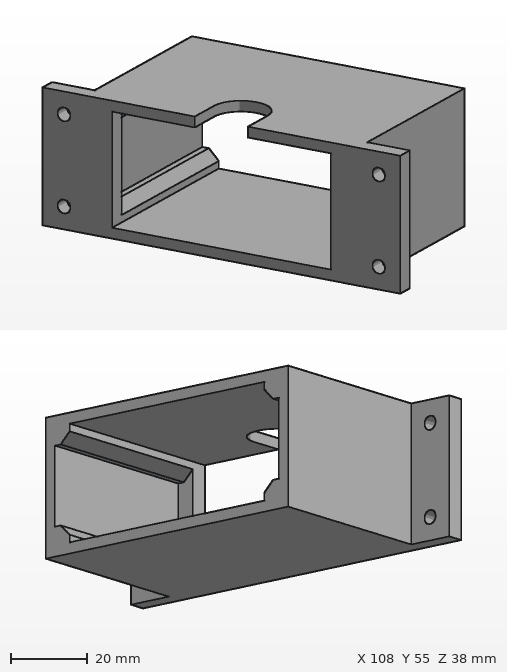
import cadquery as cq

flange_width = 108.0
depth = 55.0
height = 38.0
flange_thickness = 5.0
sleeve_width = 82.3

wall = 3.0
opening_width = 66.0
opening_height = height - 2 * wall

groove_lip = 2.0
groove_bevel = 3.0
groove_depth = 5.0

slot_width = 16.0
slot_length = 18.0
slot_radius = slot_width / 2

hole_diameter = 3.8
hole_spacing_x = 95.0
hole_spacing_z = 25.4


def centered_block(width, length, tall):
    """Block centred on X and Z, with its front face at Y = 0."""
    return cq.Workplane("XY").box(width, length, tall, centered=(True, False, True))


def groove_cutter():
    """Prism spanning both side grooves, symmetric about X and Z."""
    mouth_x = opening_width / 2
    bevel_x = mouth_x + groove_bevel
    back_x = mouth_x + groove_depth
    mouth_z = opening_height / 2 - groove_lip
    back_z = mouth_z - groove_bevel
    quarter = [(mouth_x, mouth_z), (bevel_x, back_z), (back_x, back_z)]
    right_half = quarter + [(x, -z) for x, z in reversed(quarter)]
    left_half = [(-x, -z) for x, z in right_half]
    return (
        cq.Workplane("XZ", origin=(0, flange_thickness, 0))
        .polyline(right_half + left_half)
        .close()
        .extrude(-(depth - flange_thickness))
    )


def slot_cutter():
    straight_length = slot_length - slot_radius
    return (
        cq.Workplane("XY")
        .workplane(offset=opening_height / 2 - wall)
        .moveTo(-slot_radius, 0)
        .lineTo(-slot_radius, straight_length)
        .threePointArc((0, slot_length), (slot_radius, straight_length))
        .lineTo(slot_radius, 0)
        .close()
        .extrude(3 * wall)
    )


def mounting_hole_cutters():
    return (
        cq.Workplane("XZ")
        .rect(hole_spacing_x, hole_spacing_z, forConstruction=True)
        .vertices()
        .circle(hole_diameter / 2)
        .extrude(-flange_thickness)
    )


flange = centered_block(flange_width, flange_thickness, height)
sleeve = centered_block(sleeve_width, depth, height)
opening = centered_block(opening_width, depth, opening_height)

result = (
    flange.union(sleeve)
    .cut(opening)
    .cut(groove_cutter())
    .cut(slot_cutter())
    .cut(mounting_hole_cutters())
)